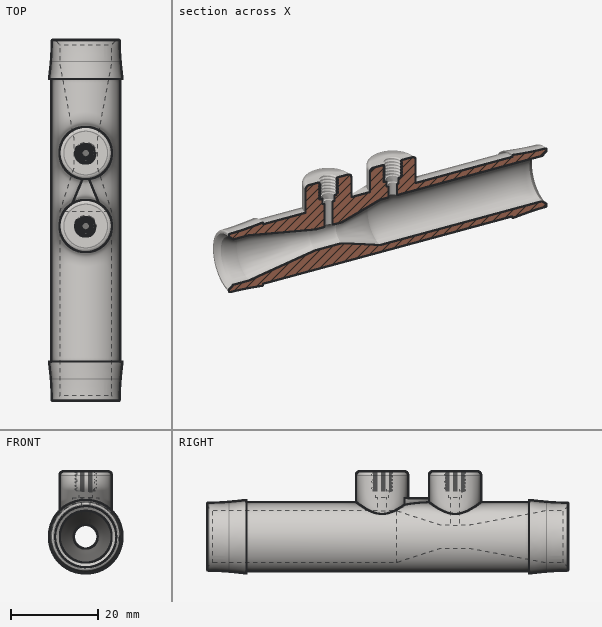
import cadquery as cq
import math

LENGTH = 82.66
END_Y = LENGTH / 2

TUBE_R = 15.88 / 2
BARB_R = 16.88 / 2
BARB_END_R = 7.8
BARB_SEAM_R = 8.02
BARB_LENGTH = 9.0
BARB_SEAM = 5.0
END_FILLET = 0.4

BORE_R = 11.88 / 2
THROAT_R = 5.4 / 2
MOUTH_R = 7.0
MOUTH_DEPTH = 1.2
CONVERGE_START_Y = 2.0
CONVERGE_END_Y = 12.0
DIFFUSER_START_Y = 18.8
DIFFUSER_END_Y = 36.0

BOSS_R = 12.0 / 2
BOSS_TOP_Z = 15.0
BOSS_FILLET = 1.0
THROAT_TAP_Y = 15.4
TAP_SPACING = 16.7
INLET_TAP_Y = THROAT_TAP_Y - TAP_SPACING
TAP_YS = (INLET_TAP_Y, THROAT_TAP_Y)

THREAD_MINOR_R = 4.06 / 2
THREAD_MAJOR_R = 4.83 / 2
THREAD_PITCH = 25.4 / 32
THREAD_DEPTH = 4.5
THREAD_RUNOUT = THREAD_PITCH / 4
GROOVE_ROOT = THREAD_PITCH / 8
GROOVE_MOUTH = THREAD_PITCH * 0.75
GROOVE_OVERLAP = 0.05
PILOT_R = 3.0 / 2
PILOT_DEPTH = 6.0
TAP_R = 2.0 / 2

ARROW_TOP_Z = 8.8
ARROW_WIDE = 5.4
ARROW_NARROW = 1.5


def barb():
    """Solid barb at the +Y end, growing wider away from the tube end."""
    seam_y = END_Y - BARB_SEAM
    barb_y = END_Y - BARB_LENGTH

    seam_rise = BARB_SEAM_R - BARB_END_R
    arc_radius = (BARB_SEAM**2 + seam_rise**2) / (2 * seam_rise)
    half_angle = math.asin(BARB_SEAM / arc_radius) / 2
    middle = (
        BARB_END_R + arc_radius * (1 - math.cos(half_angle)),
        END_Y - arc_radius * math.sin(half_angle),
    )
    profile = cq.Workplane("XY").moveTo(0, END_Y).lineTo(BARB_END_R, END_Y)
    profile = profile.threePointArc(middle, (BARB_SEAM_R, seam_y))
    profile = profile.tangentArcPoint((BARB_R, barb_y), relative=False)
    profile = profile.lineTo(0, barb_y).close()
    solid = profile.revolve(360, (0, 0, 0), (0, 1, 0))
    return solid.faces(">Y").edges().fillet(END_FILLET)


def outer_body():
    """Solid tube with a barb at each end."""
    tube = cq.Workplane("XZ").circle(TUBE_R).extrude(END_Y - BARB_LENGTH, both=True)
    end_barb = barb()
    return tube.union(end_barb).union(end_barb.mirror("XZ"))


def flow_passage():
    passage = [
        (0, -END_Y),
        (MOUTH_R, -END_Y),
        (BORE_R, MOUTH_DEPTH - END_Y),
        (BORE_R, CONVERGE_START_Y),
        (THROAT_R, CONVERGE_END_Y),
        (THROAT_R, DIFFUSER_START_Y),
        (BORE_R, DIFFUSER_END_Y),
        (BORE_R, END_Y - MOUTH_DEPTH),
        (MOUTH_R, END_Y),
        (0, END_Y),
    ]
    return cq.Workplane("XY").polyline(passage).close().revolve(360, (0, 0, 0), (0, 1, 0))


def boss(y):
    cylinder = cq.Workplane("XY").center(0, y).circle(BOSS_R).extrude(BOSS_TOP_Z)
    return cylinder.faces(">Z").edges().fillet(BOSS_FILLET)


def flow_arrow():
    wide_y = INLET_TAP_Y + BOSS_R
    narrow_y = THROAT_TAP_Y - BOSS_R
    side_slope = (ARROW_WIDE - ARROW_NARROW) / 2 / (narrow_y - wide_y)
    tip_y = narrow_y + ARROW_NARROW / 2 / side_slope
    half_base = side_slope * (tip_y - INLET_TAP_Y)
    outline = [(-half_base, INLET_TAP_Y), (half_base, INLET_TAP_Y), (0, tip_y)]
    return cq.Workplane("XY").polyline(outline).close().extrude(ARROW_TOP_Z)


def thread_groove(y):
    """Helical groove cutter that breaks out of the boss top on the -Y side of the hole."""
    start_z = BOSS_TOP_Z - THREAD_DEPTH
    helix = cq.Wire.makeHelix(THREAD_PITCH, THREAD_DEPTH + THREAD_RUNOUT, THREAD_MINOR_R)
    inner_r = THREAD_MINOR_R - GROOVE_OVERLAP
    section = [
        (inner_r, -GROOVE_MOUTH / 2),
        (THREAD_MAJOR_R, -GROOVE_ROOT / 2),
        (THREAD_MAJOR_R, GROOVE_ROOT / 2),
        (inner_r, GROOVE_MOUTH / 2),
    ]
    groove = cq.Workplane("XZ").polyline(section).close().sweep(cq.Workplane(obj=helix), isFrenet=True)
    turn = -90 - 360 * THREAD_DEPTH / THREAD_PITCH
    groove = groove.rotate((0, 0, 0), (0, 0, 1), turn).translate((0, y, start_z))
    return groove.intersect(cq.Workplane("XY").center(0, y).circle(BOSS_R).extrude(BOSS_TOP_Z))


def tap_hole(y):
    """Stepped hole from the boss top down into the flow passage."""
    def drill(radius, depth):
        return cq.Workplane("XY", origin=(0, y, BOSS_TOP_Z)).circle(radius).extrude(-depth)

    hole = drill(THREAD_MINOR_R, THREAD_DEPTH)
    hole = hole.union(drill(PILOT_R, PILOT_DEPTH))
    return hole.union(drill(TAP_R, BOSS_TOP_Z))


result = outer_body().union(flow_arrow())
for tap_y in TAP_YS:
    result = result.union(boss(tap_y))
result = result.cut(flow_passage())
for tap_y in TAP_YS:
    result = result.cut(tap_hole(tap_y))
    result = result.cut(thread_groove(tap_y))